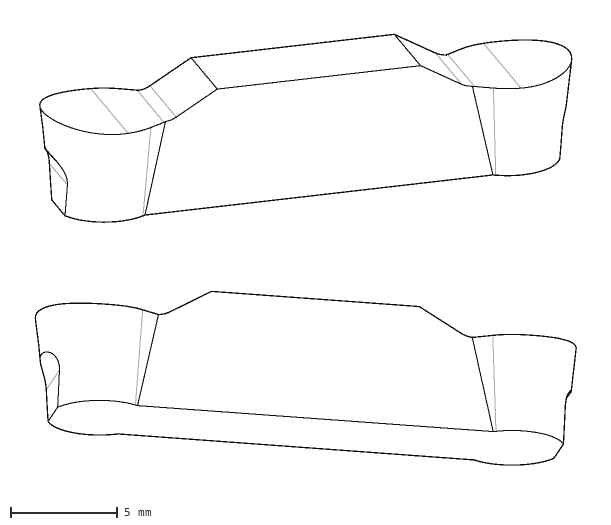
import cadquery as cq
import math

length = 25.95
height = 5.97
body_width = 4.18

base_radius = 2.5
tip_radius = 3.04
tip_height = 4.98
flank_angle = math.radians(30)
head_center = length / 2 - tip_radius

crest_half = 5.0
ramp_angle = math.radians(30)
ramp_foot = 7.03
blend_start = 7.65
rake_start = 9.68
land_height = 4.62

relief_wall = 12.2
relief_wall_top = 1.7
relief_top = 2.93

draft_slope = (tip_radius - base_radius) / tip_height
blend_radius = (blend_start - ramp_foot) / math.sin(ramp_angle)
ramp_foot_height = land_height + blend_radius * (1 - math.cos(ramp_angle))
relief_top_reach = head_center + base_radius + draft_slope * relief_top


def head_section(plan, radius):
    """Teardrop: a round nose whose tangent flanks meet at a point inside the body."""
    tangent_x = radius * math.cos(flank_angle)
    tangent_y = head_center - radius * math.sin(flank_angle)
    apex_y = head_center - radius / math.sin(flank_angle)
    return (
        plan.moveTo(0, apex_y)
        .lineTo(tangent_x, tangent_y)
        .threePointArc((0, head_center + radius), (-tangent_x, tangent_y))
        .close()
    )


def make_head():
    base = head_section(cq.Workplane("XY"), base_radius)
    top_radius = base_radius + draft_slope * height
    return head_section(base.workplane(offset=height), top_radius).loft(ruled=True, combine=True)


def side_envelope():
    """Half side profile from mid-length to the nose, extruded across the part."""
    return (
        cq.Workplane("YZ")
        .lineTo(relief_wall, 0)
        .lineTo(relief_wall, relief_wall_top)
        .tangentArcPoint((relief_top_reach, relief_top), relative=False)
        .lineTo(length / 2, tip_height)
        .threePointArc(rake_point(0.5), (rake_start, land_height))
        .lineTo(blend_start, land_height)
        .tangentArcPoint((ramp_foot, ramp_foot_height), relative=False)
        .lineTo(crest_half, height)
        .lineTo(0, height)
        .close()
        .extrude(tip_radius * 2, both=True)
    )


def rake_point(fraction):
    """Point on the rake arc at a fraction of its run from the land to the tip."""
    run = length / 2 - rake_start
    rise = tip_height - land_height
    radius = (run**2 + rise**2) / (2 * rise)
    along = fraction * run
    return (rake_start + along, land_height + radius - math.sqrt(radius**2 - along**2))


body_half = cq.Workplane("XY").box(body_width, head_center, height, centered=(True, False, False))
half = body_half.union(make_head()).intersect(side_envelope())
result = half.union(half.mirror("XZ")).clean()